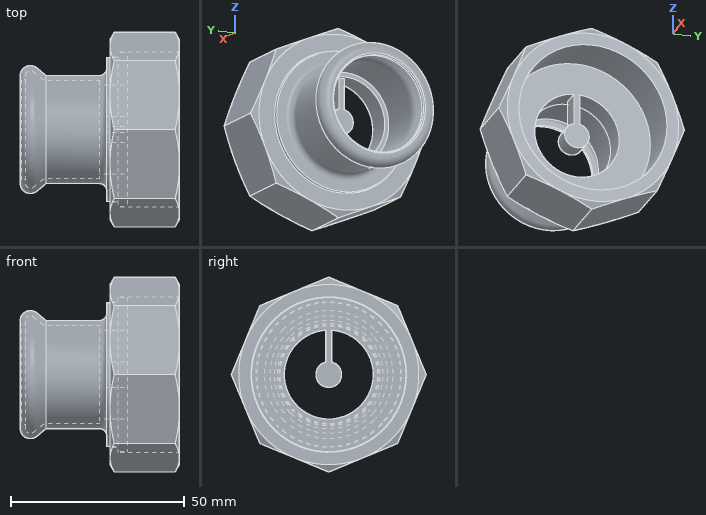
import cadquery as cq
import math


total_length = 46.0
corner_diameter = 56.3
nut_length = 20.05
nut_sides = 8
nut_start = total_length - nut_length
chamfer_angle = 30.0
lip_length = 2.25
lip_hole_diameter = 42.0
nut_bore_diameter = 44.85

tube_diameter = 31.3
socket_diameter = 28.2
wall = (tube_diameter - socket_diameter) / 2
bead_radius = 3.0
bead_center_radius = 15.55
bead_cone_angle = 40.0

flange_diameter = 41.6
flange_start = 25.0
root_fillet = 2.1
collar_diameter = 44.5
collar_start = nut_start + lip_length
collar_length = 2.8
sleeve_end = collar_start + collar_length

mouth_radius = 14.8
mouth_depth = 0.45
lip_mouth_diameter = 28.8
blend_radius = 2.85
socket_end = flange_start - root_fillet
through_diameter = 25.6

disc_diameter = 7.5
arm_width = 1.75
disc_start = flange_start
disc_thickness = sleeve_end - disc_start
arm_overlap = 0.55


def revolve_about_x(profile):
    """Turn a closed profile of (x, radius) points about the X axis."""
    return profile.close().revolve(360, (0, 0, 0), (1, 0, 0))


def cylinder_along_x(start, length, diameter):
    return cq.Workplane("YZ").workplane(offset=start).circle(diameter / 2).extrude(length)


def bead_arc_point(arc_radius, angle):
    """Point on an arc about the bead center, at an angle from straight outward toward +X."""
    return (
        bead_radius + arc_radius * math.sin(angle),
        bead_center_radius + arc_radius * math.cos(angle),
    )


def make_sleeve_blank():
    """Hollow bead, tube, filleted flange and collar, with the stepped bore inside."""
    cone_angle = math.radians(bead_cone_angle)
    arc_middle_angle = math.radians(-45)
    tube_radius = tube_diameter / 2
    socket_radius = socket_diameter / 2
    lip_radius = lip_mouth_diameter / 2

    cone_start, cone_start_radius = bead_arc_point(bead_radius, cone_angle)
    cone_end = cone_start + (cone_start_radius - tube_radius) / math.tan(cone_angle)

    fillet_reach = root_fillet * math.sin(math.radians(45))
    fillet_middle = (
        flange_start - root_fillet + fillet_reach,
        tube_radius + root_fillet - fillet_reach,
    )

    groove_arc_radius = bead_radius - wall
    groove_cone_start, groove_cone_radius = bead_arc_point(groove_arc_radius, cone_angle)

    blend_start_radius = socket_radius + blend_radius * (1 - math.cos(cone_angle))
    blend_start = groove_cone_start + (groove_cone_radius - blend_start_radius) / math.tan(cone_angle)
    socket_start = blend_start + blend_radius * math.sin(cone_angle)
    blend_middle = (
        socket_start - blend_radius * math.sin(cone_angle / 2),
        socket_radius + blend_radius * (1 - math.cos(cone_angle / 2)),
    )

    profile = (
        cq.Workplane("XY")
        .moveTo(0, mouth_radius)
        .lineTo(0, bead_center_radius)
        .threePointArc(bead_arc_point(bead_radius, arc_middle_angle), (cone_start, cone_start_radius))
        .lineTo(cone_end, tube_radius)
        .lineTo(flange_start - root_fillet, tube_radius)
        .threePointArc(fillet_middle, (flange_start, tube_radius + root_fillet))
        .lineTo(flange_start, flange_diameter / 2)
        .lineTo(collar_start, flange_diameter / 2)
        .lineTo(collar_start, collar_diameter / 2)
        .lineTo(sleeve_end, collar_diameter / 2)
        .lineTo(sleeve_end, through_diameter / 2)
        .lineTo(socket_end, through_diameter / 2)
        .lineTo(socket_end, socket_radius)
        .lineTo(socket_start, socket_radius)
        .threePointArc(blend_middle, (blend_start, blend_start_radius))
        .lineTo(groove_cone_start, groove_cone_radius)
        .threePointArc(bead_arc_point(groove_arc_radius, arc_middle_angle), (wall, bead_center_radius))
        .lineTo(wall, lip_radius)
        .lineTo(mouth_depth, lip_radius)
    )
    return revolve_about_x(profile)


def make_disc_and_arm():
    """Central disc with an arm that runs up into the bore wall."""
    disc = cylinder_along_x(disc_start, disc_thickness, disc_diameter)
    arm_length = through_diameter / 2 + arm_overlap
    arm = (
        cq.Workplane("YZ")
        .workplane(offset=disc_start)
        .center(0, arm_length / 2)
        .rect(arm_width, arm_length)
        .extrude(disc_thickness)
    )
    return disc.union(arm)


def make_sleeve():
    return make_sleeve_blank().union(make_disc_and_arm())


def make_nut():
    """Octagonal nut with conical corner chamfers at both ends and a retaining lip."""
    prism = (
        cq.Workplane("YZ")
        .workplane(offset=nut_start)
        .polygon(nut_sides, corner_diameter)
        .extrude(nut_length)
    )
    corner_radius = corner_diameter / 2
    face_radius = corner_radius * math.cos(math.pi / nut_sides)
    chamfer_length = (corner_radius - face_radius) * math.tan(math.radians(chamfer_angle))
    envelope = revolve_about_x(
        cq.Workplane("XY")
        .moveTo(nut_start, 0)
        .lineTo(nut_start, face_radius)
        .lineTo(nut_start + chamfer_length, corner_radius)
        .lineTo(total_length - chamfer_length, corner_radius)
        .lineTo(total_length, face_radius)
        .lineTo(total_length, 0)
    )
    lip_hole = cylinder_along_x(nut_start, lip_length, lip_hole_diameter)
    main_bore = cylinder_along_x(collar_start, nut_length - lip_length, nut_bore_diameter)
    return prism.intersect(envelope).cut(lip_hole).cut(main_bore)


sleeve = make_sleeve()
nut = make_nut()

result = cq.Compound.makeCompound([sleeve.val(), nut.val()])